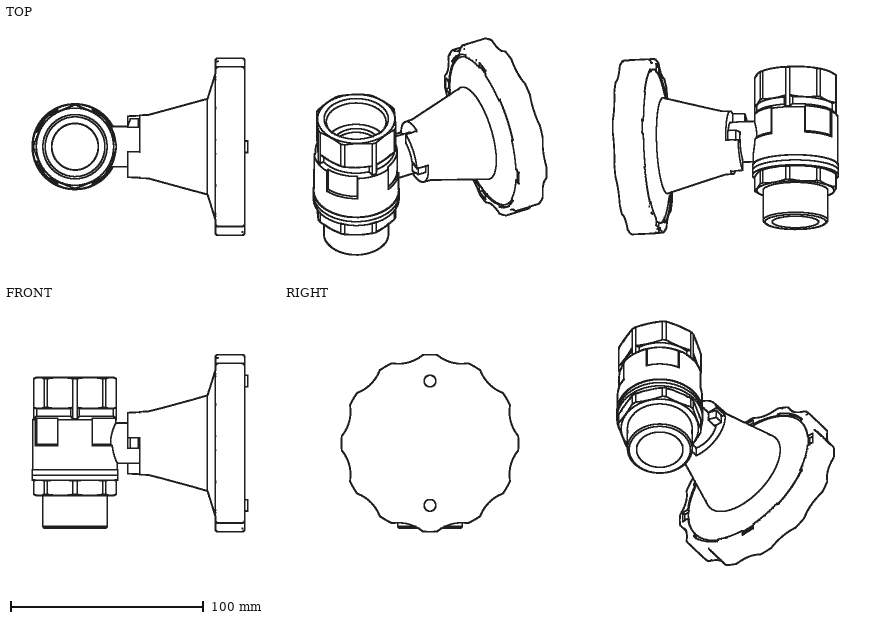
import cadquery as cq
import math


BORE_D = 24.0
SOCKET_D = 31.0
SOCKET_MOUTH_D = 33.3
SOCKET_MOUTH_HEIGHT = 2.0
SOCKET_FLOOR_Z = 17.8
BALL_FLAT_Z = 15.3
BALL_R = math.hypot(BALL_FLAT_Z, BORE_D / 2)

OCTAGON_SIDES = 8
OCTAGON_ACROSS_FLATS = 40.4
OCTAGON_CORNER_D = 42.8
OCTAGON_CHAMFER_D = 40.0
OCTAGON_CHAMFER_HEIGHT = 0.7

BODY_TOP_Z = 34.1
BODY_OCTAGON_BOTTOM_Z = 17.9
BODY_NECK_D = 40.0
BODY_NECK_BOTTOM_Z = 14.1
BODY_SHOULDER_Z = 12.1
BODY_D = 44.0
FLANGE_D = 44.5
BODY_FLANGE_TOP_Z = -13.8
JOINT_Z = -16.5
POST_ROOT_WIDTH = 4.5
POST_TIP_WIDTH = 2.2

POCKET_FLOOR_D = 42.4
POCKET_MIN_X = 8.8
POCKET_MIN_Y = 7.5
POCKET_FLOOR_BOTTOM_Z = -0.5
POCKET_RIM_BOTTOM_Z = -1.3

SPINDLE_NECK_D = 21.0
LUG_WIDTH = 5.5
LUG_TIP_R = 14.5
LUG_TIP_X = 28.7
LUG_END_X = 32.9

OUTLET_FLANGE_BOTTOM_Z = -19.1
OUTLET_OCTAGON_TOP_Z = -18.9
OUTLET_OCTAGON_BOTTOM_Z = -27.2
OUTLET_BOTTOM_Z = -44.1
OUTLET_PIPE_D = 33.5
OUTLET_CHAMFER = 0.9

COLLAR_START_X = 27.3
COLLAR_START_D = 32.2
COLLAR_FLOOR_X = 33.7
HUB_CONE_START_X = 38.1
HUB_CONE_START_D = 33.1
HUB_FLARE_X = 68.7
HUB_FLARE_D = 49.8
HUB_FLANGE_X = 73.4
HUB_FLANGE_D = 80.0
HUB_BACK_X = 78.3

RIM_FRONT_X = 72.7
RIM_BACK_X = 88.0
LOBE_COUNT = 12
RIM_CREST_R = 46.0
RIM_VALLEY_R = 43.4
CREST_HALF_ANGLE = 4.6
RIM_EDGE_FILLET = 1.5
CREST_EDGE_FILLET = 1.0

OPENING_COUNT = 4
OPENING_DEPTH = 1.7
OPENING_FLOOR_X = RIM_FRONT_X + OPENING_DEPTH
WINDOW_WIDTH = 7.2
WINDOW_OUTER_R = 43.2
SNAP_OUTER_R = 41.4
SNAP_HALF_ANGLE = 15.5
SNAP_FIRST_ANGLE = 45

PIN_D = 6.0
PIN_START_X = 82.8
PIN_END_X = 89.6
PIN_OFFSET_Z = 32.2


def z_cylinder(diameter, bottom, top):
    return cq.Workplane("XY").workplane(offset=bottom).circle(diameter / 2).extrude(top - bottom)


def x_cylinder(diameter, start, end):
    return cq.Workplane("YZ").workplane(offset=start).circle(diameter / 2).extrude(end - start)


def revolve_about_z(points):
    """Turn an (r, z) outline about the flow axis."""
    return cq.Workplane("XZ").polyline(points).close().revolve(360, (0, 0), (0, 1))


def revolve_about_x(points, angle=360):
    """Turn an (x, r) outline about the spindle axis, starting at +Y."""
    return cq.Workplane("XY").polyline(points).close().revolve(angle, (0, 0), (1, 0))


def ball_sphere():
    return cq.Workplane("XY").sphere(BALL_R)


def octagon_prism(bottom, top):
    """Octagon with corners on the X and Y axes, cut to a cylinder at its corners."""
    corner_to_corner = OCTAGON_ACROSS_FLATS / math.cos(math.pi / OCTAGON_SIDES)
    prism = cq.Workplane("XY").workplane(offset=bottom)
    prism = prism.polygon(OCTAGON_SIDES, corner_to_corner).extrude(top - bottom)
    return prism.intersect(z_cylinder(OCTAGON_CORNER_D, bottom, top))


def wrench_section(bottom, top):
    """Octagon whose two ends are turned to a cone."""
    end_r = OCTAGON_CHAMFER_D / 2
    corner_r = OCTAGON_CORNER_D / 2
    envelope = revolve_about_z([
        (0, bottom),
        (end_r, bottom),
        (corner_r, bottom + OCTAGON_CHAMFER_HEIGHT),
        (corner_r, top - OCTAGON_CHAMFER_HEIGHT),
        (end_r, top),
        (0, top),
    ])
    return octagon_prism(bottom, top).intersect(envelope)


def body_posts():
    """Four tapered posts that carry the octagon corners on the axes down to the shoulder."""
    root_y = POST_ROOT_WIDTH / 2
    tip_y = POST_TIP_WIDTH / 2
    root_x = math.sqrt((BODY_NECK_D / 2) ** 2 - root_y ** 2)
    tip_x = OCTAGON_CORNER_D / 2
    height = BODY_OCTAGON_BOTTOM_Z + OCTAGON_CHAMFER_HEIGHT - BODY_SHOULDER_Z
    post = (
        cq.Workplane("XY")
        .workplane(offset=BODY_SHOULDER_Z)
        .polyline([(0, root_y), (root_x, root_y), (tip_x, tip_y), (tip_x, 0), (0, 0)])
        .close()
        .extrude(height)
    )
    post = post.union(post.mirror("XZ"))
    posts = post
    for angle in (90, 180, 270):
        posts = posts.union(post.rotate((0, 0, 0), (0, 0, 1), angle))
    return posts.intersect(octagon_prism(BODY_SHOULDER_Z, BODY_SHOULDER_Z + height))


def body_pockets():
    """Recess round the +X side and two on the -X side, bounded by planes across X and Y."""
    floor_r = POCKET_FLOOR_D / 2
    rim_r = BODY_D / 2
    clear_r = FLANGE_D / 2
    ring = revolve_about_z([
        (floor_r, POCKET_FLOOR_BOTTOM_Z),
        (rim_r, POCKET_RIM_BOTTOM_Z),
        (clear_r, POCKET_RIM_BOTTOM_Z),
        (clear_r, BODY_NECK_BOTTOM_Z),
        (floor_r, BODY_NECK_BOTTOM_Z),
    ])
    height = 2 * BODY_TOP_Z
    middle_land = cq.Workplane("XY").box(2 * POCKET_MIN_X, FLANGE_D, height)
    rear_land = cq.Workplane("XY").box(FLANGE_D, 2 * POCKET_MIN_Y, height)
    rear_land = rear_land.translate((-FLANGE_D / 2, 0, 0))
    return ring.cut(middle_land).cut(rear_land)


def stop_lugs():
    """Two lugs on the +Y and -Y sides of the spindle neck, with a sloping front."""
    outline = [
        (COLLAR_START_X, 0),
        (COLLAR_START_X, SPINDLE_NECK_D / 2),
        (LUG_TIP_X, LUG_TIP_R),
        (LUG_END_X, LUG_TIP_R),
        (LUG_END_X, 0),
    ]
    lug = cq.Workplane("XY").polyline(outline).close().extrude(LUG_WIDTH / 2, both=True)
    return lug.union(lug.mirror("XZ"))


def make_body():
    shell = revolve_about_z([
        (0, JOINT_Z),
        (FLANGE_D / 2, JOINT_Z),
        (FLANGE_D / 2, BODY_FLANGE_TOP_Z),
        (BODY_D / 2, BODY_FLANGE_TOP_Z),
        (BODY_D / 2, BODY_SHOULDER_Z),
        (BODY_NECK_D / 2, BODY_NECK_BOTTOM_Z),
        (BODY_NECK_D / 2, BODY_OCTAGON_BOTTOM_Z),
        (0, BODY_OCTAGON_BOTTOM_Z),
    ])
    shell = shell.cut(body_pockets())
    shell = shell.union(wrench_section(BODY_OCTAGON_BOTTOM_Z, BODY_TOP_Z))
    shell = shell.union(body_posts())
    shell = shell.union(x_cylinder(SPINDLE_NECK_D, 0, COLLAR_FLOOR_X))
    shell = shell.union(stop_lugs())

    passage = revolve_about_z([
        (0, 0),
        (BORE_D / 2, 0),
        (BORE_D / 2, SOCKET_FLOOR_Z),
        (SOCKET_D / 2, SOCKET_FLOOR_Z),
        (SOCKET_D / 2, BODY_TOP_Z - SOCKET_MOUTH_HEIGHT),
        (SOCKET_MOUTH_D / 2, BODY_TOP_Z),
        (0, BODY_TOP_Z),
    ])
    chamber = ball_sphere().union(z_cylinder(2 * BALL_R, JOINT_Z, 0))
    return shell.cut(passage).cut(chamber)


def make_outlet():
    """Outlet fitting whose spigot reaches up to the ball's equator and cups the ball."""
    outlet = z_cylinder(FLANGE_D, OUTLET_FLANGE_BOTTOM_Z, JOINT_Z)
    outlet = outlet.union(wrench_section(OUTLET_OCTAGON_BOTTOM_Z, OUTLET_OCTAGON_TOP_Z))
    pipe = z_cylinder(OUTLET_PIPE_D, OUTLET_BOTTOM_Z, JOINT_Z)
    outlet = outlet.union(pipe.faces("<Z").chamfer(OUTLET_CHAMFER))
    outlet = outlet.union(z_cylinder(2 * BALL_R, JOINT_Z, 0))
    return outlet.cut(ball_sphere()).cut(z_cylinder(BORE_D, OUTLET_BOTTOM_Z, 0))


def make_ball():
    return ball_sphere().cut(z_cylinder(BORE_D, -BALL_R, BALL_R))


def collar_clearance():
    """Space for the stop lugs: leaves the collar only in two opposite quadrants."""
    length = COLLAR_FLOOR_X - COLLAR_START_X
    reach = COLLAR_START_D
    stop = LUG_WIDTH / 2
    upper = cq.Workplane("XY").box(length, reach, reach, centered=False)
    upper = upper.translate((COLLAR_START_X, -stop, -stop))
    lower = upper.rotate((0, 0, 0), (1, 0, 0), 180)
    return upper.union(lower).union(x_cylinder(SPINDLE_NECK_D, COLLAR_START_X, COLLAR_FLOOR_X))


def snap_sectors(outline):
    """Sectors turned from an (x, r) outline, midway between the windows."""
    sector = revolve_about_x(outline, 2 * SNAP_HALF_ANGLE)
    sectors = cq.Workplane("XY")
    for i in range(OPENING_COUNT):
        start = SNAP_FIRST_ANGLE - SNAP_HALF_ANGLE + i * 360 / OPENING_COUNT
        sectors = sectors.add(sector.rotate((0, 0, 0), (1, 0, 0), start))
    return sectors.combine()


def make_hub():
    flange_r = HUB_FLANGE_D / 2
    hub = revolve_about_x([
        (COLLAR_START_X, 0),
        (COLLAR_START_X, COLLAR_START_D / 2),
        (HUB_CONE_START_X, HUB_CONE_START_D / 2),
        (HUB_FLARE_X, HUB_FLARE_D / 2),
        (HUB_FLANGE_X, flange_r),
        (HUB_BACK_X, flange_r),
        (HUB_BACK_X, 0),
    ])
    snaps = snap_sectors([
        (HUB_FLANGE_X, 0),
        (HUB_FLANGE_X, flange_r),
        (OPENING_FLOOR_X, SNAP_OUTER_R),
        (OPENING_FLOOR_X, 0),
    ])
    return hub.cut(collar_clearance()).union(snaps)


def lobed_blank():
    """Disc whose edge has round hollows between the crests."""
    def edge_point(radius, degrees):
        angle = math.radians(degrees)
        return (radius * math.cos(angle), radius * math.sin(angle))

    pitch = 360 / LOBE_COUNT
    outline = cq.Workplane("YZ").workplane(offset=RIM_FRONT_X)
    outline = outline.moveTo(*edge_point(RIM_CREST_R, -CREST_HALF_ANGLE))
    for i in range(LOBE_COUNT):
        crest = i * pitch
        outline = outline.threePointArc(
            edge_point(RIM_CREST_R, crest),
            edge_point(RIM_CREST_R, crest + CREST_HALF_ANGLE),
        )
        outline = outline.threePointArc(
            edge_point(RIM_VALLEY_R, crest + pitch / 2),
            edge_point(RIM_CREST_R, crest + pitch - CREST_HALF_ANGLE),
        )
    blank = outline.close().extrude(RIM_BACK_X - RIM_FRONT_X)
    blank = blank.edges("|X").fillet(CREST_EDGE_FILLET)
    return blank.faces("<X or >X").edges().fillet(RIM_EDGE_FILLET)


def rim_windows():
    """Rectangular recesses on the axes, open to the hub flange."""
    window = cq.Workplane("XY")
    window = window.box(OPENING_DEPTH, WINDOW_OUTER_R, WINDOW_WIDTH, centered=(False, False, True))
    window = window.translate((RIM_FRONT_X, 0, 0))
    windows = window
    for i in range(1, OPENING_COUNT):
        windows = windows.union(window.rotate((0, 0, 0), (1, 0, 0), i * 360 / OPENING_COUNT))
    return windows


def make_rim(pins):
    snap_recesses = snap_sectors([
        (RIM_FRONT_X, 0),
        (RIM_FRONT_X, SNAP_OUTER_R),
        (OPENING_FLOOR_X, SNAP_OUTER_R),
        (OPENING_FLOOR_X, 0),
    ])
    rim = lobed_blank().cut(x_cylinder(HUB_FLANGE_D, RIM_FRONT_X, HUB_BACK_X))
    rim = rim.cut(rim_windows()).cut(snap_recesses)
    for pin in pins:
        rim = rim.cut(pin)
    return rim


def make_pin(z):
    return x_cylinder(PIN_D, PIN_START_X, PIN_END_X).translate((0, 0, z))


body = make_body()
outlet = make_outlet()
ball = make_ball()
hub = make_hub()
pins = [make_pin(side * PIN_OFFSET_Z) for side in (-1, 1)]
rim = make_rim(pins)

result = cq.Compound.makeCompound([
    body.val(),
    outlet.val(),
    ball.val(),
    hub.val(),
    rim.val(),
    *[pin.val() for pin in pins],
])